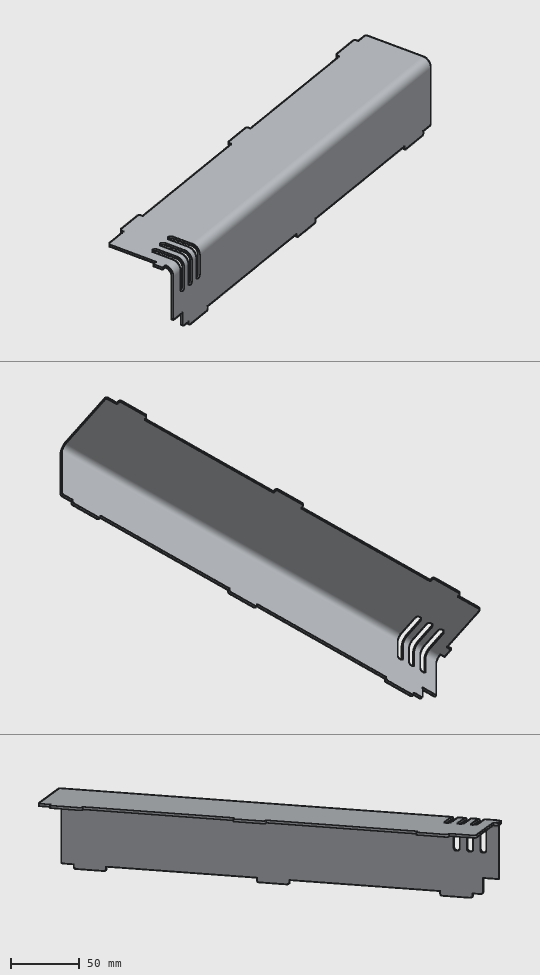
import cadquery as cq
import math

length = 338.5
flange_width = 61.0
thickness = 2.0
bend_radius = 7.0
inner_bend_radius = bend_radius - thickness
corner_radius = 1.7

tab_height = 3.5
tab_length = 24.7
tab_pitch = 140.0
tab_count = 3
last_tab_center = 316.5
tab_centers = [last_tab_center - index * tab_pitch for index in range(tab_count)]

tongue_height = 3.7
tongue_length = 8.0

notch_size = 12.2

slot_count = 3
slot_width = 4.7
slot_pitch = 10.0
slot_reach = 26.5
first_slot_center = 15.5

body_width = flange_width - tab_height
body_length = length - tongue_height
outer = flange_width / 2
free_edge = outer - body_width
y_min = -length / 2

sheet = (outer - thickness, outer)


def make_angle():
    """Bent sheet without tabs, extruded along Y."""
    inner = outer - thickness
    mid = math.cos(math.radians(45))
    center = outer - bend_radius
    outer_mid = center + bend_radius * mid
    inner_mid = center + inner_bend_radius * mid
    profile = (
        cq.Workplane("XZ", origin=(0, y_min + tongue_height, 0))
        .moveTo(free_edge, outer)
        .lineTo(center, outer)
        .threePointArc((outer_mid, outer_mid), (outer, center))
        .lineTo(outer, free_edge)
        .lineTo(inner, free_edge)
        .lineTo(inner, center)
        .threePointArc((inner_mid, inner_mid), (center, inner))
        .lineTo(free_edge, inner)
        .close()
    )
    return profile.extrude(-body_length)


def box(x_range, y_range, z_range):
    """Box spanning the given (low, high) ranges."""
    spans = [high - low for low, high in (x_range, y_range, z_range)]
    corner = (x_range[0], y_range[0], z_range[0])
    return cq.Workplane("XY").box(*spans, centered=False).translate(corner)


def cut_notch(part):
    """Square step out of the lower -Y corner of the vertical flange."""
    start = y_min + tongue_height
    notch = box(sheet, (start, start + notch_size), (free_edge, free_edge + notch_size))
    return part.cut(notch)


def round_flange_corners(part):
    """Small radius on the free corners of both flanges."""
    part = part.edges("|Z and <X").fillet(corner_radius)
    return part.edges("|X and <Z").fillet(corner_radius)


def add_tabs(part):
    """Matching rows of tabs on both free edges."""
    edge = (-outer, free_edge)
    for center in tab_centers:
        along = (y_min + center - tab_length / 2, y_min + center + tab_length / 2)
        top_tab = box(edge, along, sheet).edges("|Z and <X").fillet(corner_radius)
        side_tab = box(sheet, along, edge).edges("|X and <Z").fillet(corner_radius)
        part = part.union(top_tab).union(side_tab)
    return part


def add_tongue(part):
    """Tongue next to the bend on the -Y end of the horizontal flange."""
    bend_start = outer - bend_radius
    tongue = box((bend_start - tongue_length, bend_start), (y_min, y_min + tongue_height), sheet)
    return part.union(tongue)


def round_end(plane, origin):
    """Disc through the sheet that rounds one end of a slot."""
    return cq.Workplane(plane, origin=origin).circle(slot_width / 2).extrude(thickness)


def cut_slots(part):
    """Round-ended slots through both flanges and across the bend."""
    straight = slot_reach - slot_width / 2
    for index in range(slot_count):
        y = y_min + first_slot_center + index * slot_pitch
        along = (y - slot_width / 2, y + slot_width / 2)
        end = outer - straight
        band = box((end, outer), along, (end, outer))
        top_end = round_end("XY", (end, y, sheet[0]))
        side_end = round_end("YZ", (sheet[0], y, end))
        part = part.cut(band).cut(top_end).cut(side_end)
    return part


result = make_angle()
result = cut_notch(result)
result = round_flange_corners(result)
result = add_tabs(result)
result = add_tongue(result)
result = cut_slots(result)